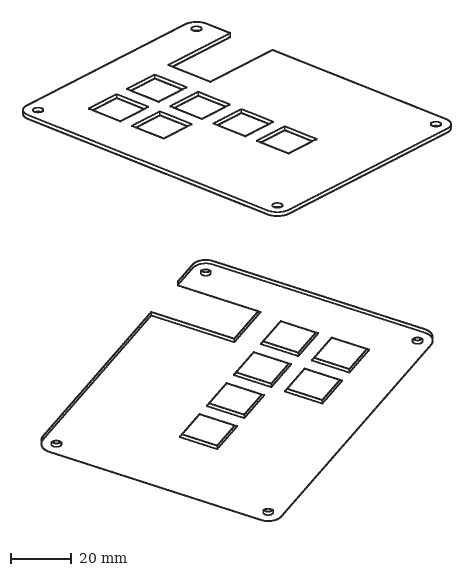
import cadquery as cq

LENGTH = 115.25
WIDTH = 89.06
THICKNESS = 1.5
CORNER_RADIUS = 5.0

HOLE_DIAMETER = 3.4
HOLE_INSET = CORNER_RADIUS

KEY_SIZE = 14.0
KEY_PITCH = 19.05
KEY_INSET = 23.8
KEYS_PER_ROW = (2, 4)

NOTCH_INSET = 15.5
NOTCH_WIDTH = 18.5
NOTCH_DEPTH = 31.0

LEFT = -LENGTH / 2
FRONT = -WIDTH / 2
BACK = WIDTH / 2


def make_plate():
    plate = cq.Workplane("XY").box(LENGTH, WIDTH, THICKNESS, centered=(True, True, False))
    return plate.edges("|Z").fillet(CORNER_RADIUS)


def cut_mounting_holes(plate):
    return (
        plate.faces(">Z")
        .workplane(origin=(0, 0, THICKNESS))
        .rect(LENGTH - 2 * HOLE_INSET, WIDTH - 2 * HOLE_INSET, forConstruction=True)
        .vertices()
        .hole(HOLE_DIAMETER)
    )


def cut_key_openings(plate):
    centres = [
        (LEFT + KEY_INSET + column * KEY_PITCH, FRONT + KEY_INSET + row * KEY_PITCH)
        for row, key_count in enumerate(KEYS_PER_ROW)
        for column in range(key_count)
    ]
    openings = cq.Workplane("XY").pushPoints(centres).rect(KEY_SIZE, KEY_SIZE).extrude(THICKNESS)
    return plate.cut(openings)


def cut_back_notch(plate):
    notch = (
        cq.Workplane("XY")
        .box(NOTCH_WIDTH, NOTCH_DEPTH, THICKNESS, centered=False)
        .translate((LEFT + NOTCH_INSET, BACK - NOTCH_DEPTH, 0))
    )
    return plate.cut(notch)


result = make_plate()
result = cut_mounting_holes(result)
result = cut_key_openings(result)
result = cut_back_notch(result)